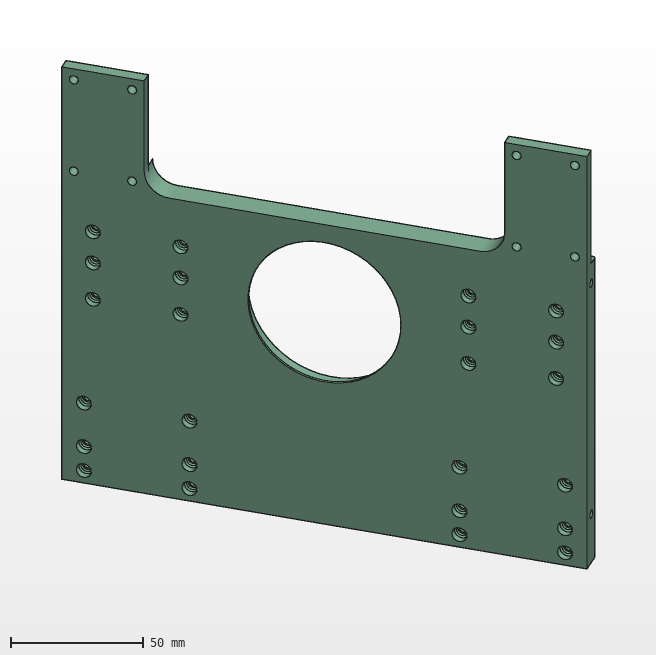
import cadquery as cq

width = 210
height = 181.0
thickness = 10.0

ear_width = 33.0
ear_height = 49.5
ear_thickness = thickness / 2
notch_radius = 9.9
notch_width = width - 2 * ear_width
notch_floor_z = height - ear_height

window_diameter = 61.1
window_bore_diameter = 67.0
window_lip = 1.0
window_z = 93.0

back_radius = 1.0

ear_hole_diameter = 3.5
ear_hole_margin = 4.8
ear_hole_spacing_x = 23.3
ear_hole_spacing_z = 40.1

head_diameter = 5.9
head_depth = 3.0
pilot_diameter = 4.6
pilot_depth = thickness / 2
screw_diameter = 3.4
cone_depth = (head_diameter - pilot_diameter) / 2
upper_screw_columns = (57.5, 92.6)
upper_screw_rows = (81.3, 97.2, 110.9)
lower_screw_columns = (54.0, 96.2)
lower_screw_rows = (5.5, 16.0, 35.0)

side_hole_diameter = 3.2
side_hole_depth = 10.5
side_hole_rows = (21.2, 122.6)


def mirrored_points(columns, rows):
    """(x, z) points of a grid, repeated on both sides of the centre plane."""
    return [(side * x, z) for side in (-1, 1) for x in columns for z in rows]


def bores(points, diameter, start=0.0, end=thickness):
    """Cylinders along Y at (x, z) points, from depth start to depth end."""
    plane = cq.Workplane("XZ", origin=(0, start, 0))
    return plane.pushPoints(points).circle(diameter / 2).extrude(start - end)


def screw_hole():
    """Turned cutter for one stepped screw hole, its axis along Y."""
    head = head_diameter / 2
    pilot = pilot_diameter / 2
    screw = screw_diameter / 2
    profile = [
        (0, 0),
        (head, 0),
        (head, head_depth),
        (pilot, head_depth + cone_depth),
        (pilot, pilot_depth),
        (screw, pilot_depth),
        (screw, thickness),
        (0, thickness),
    ]
    return cq.Workplane("XY").polyline(profile).close().revolve(360, (0, 0, 0), (0, 1, 0))


def block(size_x, size_z):
    """Full-thickness block centred on X, standing on Z = 0."""
    return cq.Workplane("XY").box(size_x, thickness, size_z, centered=(True, False, False))


plate = block(width, height)
notch = block(notch_width, height).edges("|Y and <Z").fillet(notch_radius)
plate = plate.cut(notch.translate((0, 0, notch_floor_z)))

for side in (-1, 1):
    ear_x = side * (width - ear_width) / 2
    plate = plate.cut(block(ear_width, ear_height).translate((ear_x, ear_thickness, notch_floor_z)))

window_centre = [(0, window_z)]
plate = plate.cut(bores(window_centre, window_diameter))
plate = plate.cut(bores(window_centre, window_bore_diameter, start=window_lip))

back_edges = plate.edges("|Z and >Y").edges("<X or >X")
back_edges = back_edges.add(plate.faces("<Z").edges(">Y"))
back_edges = back_edges.add(plate.faces(">Y").edges(cq.selectors.RadiusNthSelector(-1)))
plate = back_edges.fillet(back_radius)

ear_hole_x = width / 2 - ear_hole_margin
ear_hole_z = height - ear_hole_margin
ear_hole_columns = (ear_hole_x, ear_hole_x - ear_hole_spacing_x)
ear_hole_rows = (ear_hole_z, ear_hole_z - ear_hole_spacing_z)
plate = plate.cut(bores(mirrored_points(ear_hole_columns, ear_hole_rows), ear_hole_diameter))

screw_points = mirrored_points(upper_screw_columns, upper_screw_rows)
screw_points += mirrored_points(lower_screw_columns, lower_screw_rows)
for x, z in screw_points:
    plate = plate.cut(screw_hole().translate((x, 0, z)))

side_points = [(thickness / 2, z) for z in side_hole_rows]
for side in (-1, 1):
    edge_plane = cq.Workplane("YZ", origin=(side * width / 2, 0, 0)).pushPoints(side_points)
    plate = plate.cut(edge_plane.circle(side_hole_diameter / 2).extrude(-side * side_hole_depth))

result = plate